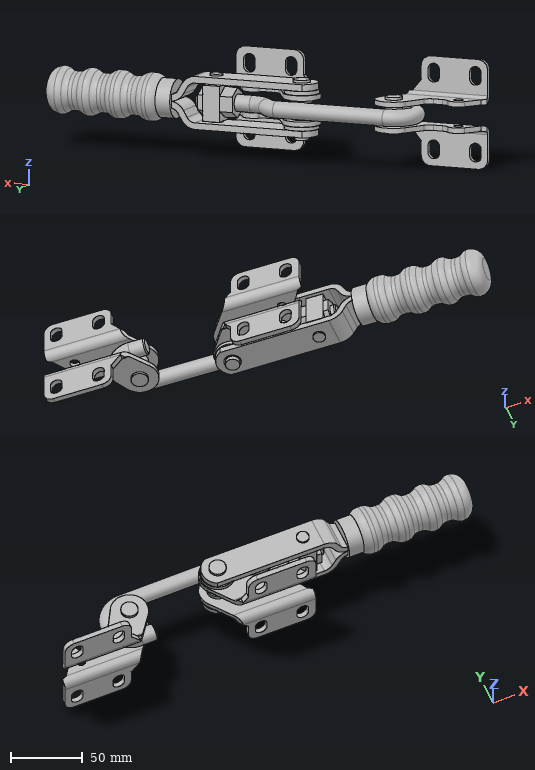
import cadquery as cq
import math


sheet = 4.0
cheek_gap_half = 7.5
bend_inner_radius = 2.5
bend_outer_radius = bend_inner_radius + sheet
cheek_outer_z = cheek_gap_half + sheet
bend_line_z = cheek_gap_half + bend_outer_radius
eye_radius = 13.5
ear_radius = 8.0
ear_hole_radius = 3.2
end_step_height = 4.8
end_step_length = 3.5
end_step_rise = 2.0
saddle_above_ear = 3.2
saddle_slope = 60
saddle_fillet = 6.5
cheek_top_limit = 64.0
flange_corner_radius = 7.0
slot_width = 8.5
slot_length = 13.0
slot_spacing = 31.7
pivot_radius = 6.0

catch_pivot_x = 61.0
catch_pivot_y = 27.5
catch_ear_x = 18.0
catch_ear_y = 13.5
catch_flange_length = 50.5
catch_foot_length = 57.3
catch_neck_z = 21.8
catch_half_width = 39.0
catch_slot_inset = 9.3
catch_slot_z = 27.2
catch_pin_half_length = 13.0

base_end_x = 191.5
base_rise = 3.0
base_ear_x = 19.2
base_pivot_x = 129.5
base_flange_length = 51.5
base_foot_length = 55.7
base_neck_z = 18.2
base_half_width = 36.0
base_slot_z = 24.0
base_slot_inset = 10.2
base_pivot_y = catch_pivot_y + base_rise
washer_radius = 12.5
collar_radius = 7.7
collar_thickness = 3.0
pivot_head_height = 2.0
pivot_tail_radius = 5.0
pivot_tail_length = 3.2

strap_thickness = 4.8
strap_width = 22.5
strap_inner_z = 14.0
strap_outer_z = strap_inner_z + strap_thickness
strap_tip_overhang = 12.0
strap_shoulder = 5.0
strap_bend_x = 206.0
strap_bend_radius = 9.3
strap_bend_angle = math.radians(60)
strap_tail = 6.5
grip_start_x = 224.0
grip_neck_length = 11.2
grip_bulge_radius = 17.3
grip_valley_radius = 14.0
grip_end_x = 320.0
grip_end_radius = 9.3
grip_bulge_gaps = (24.0, 22.5, 21.0)
grip_crest_lengths = (3.0, 3.0, 0, 0)
grip_valley_length = 3.0

trunnion_x = 194.5
trunnion_radius = 4.5
trunnion_half_length = 20.2
block_length = 12.8
block_height = 19.2
block_half_width = 12.8

rod_radius = 6.0
rod_z = 0.3
rod_tilt = 0.5
hook_center_y = 26.5
hook_radius = 15.7
hook_tip_length = 12.0
crank_start = 83.0
crank_first_radius = 10.2
crank_second_radius = 17.0
rod_end_overhang = 7.7
rod_end_chamfer = 1.0
nut_across_flats = 19.0
front_nut_thickness = 9.5
rear_nut_thickness = 4.0


def z_cylinder(radius, z_low, z_high, x, y):
    return cq.Workplane("XY", origin=(x, y, z_low)).circle(radius).extrude(z_high - z_low)


def on_circle(center, radius, degrees):
    angle = math.radians(degrees)
    return (center[0] + radius * math.cos(angle), center[1] + radius * math.sin(angle))


def tangent_point(center, radius, point, turn):
    """Where a line from `point` touches a circle; `turn` is +1 or -1 for the two solutions."""
    dx = point[0] - center[0]
    dy = point[1] - center[1]
    angle = math.atan2(dy, dx) + turn * math.acos(radius / math.hypot(dx, dy))
    return on_circle(center, radius, math.degrees(angle))


def bent_sheet(length, half_width):
    """L-shaped sheet over the whole length: upright cheek, bend and flat flange."""
    return (
        cq.Workplane("ZY")
        .moveTo(half_width, 0)
        .lineTo(bend_line_z, 0)
        .radiusArc((cheek_gap_half, bend_outer_radius), bend_outer_radius)
        .lineTo(cheek_gap_half, cheek_top_limit)
        .lineTo(cheek_outer_z, cheek_top_limit)
        .lineTo(cheek_outer_z, bend_outer_radius)
        .radiusArc((bend_line_z, sheet), -bend_inner_radius)
        .lineTo(half_width, sheet)
        .close()
        .extrude(-length)
    )


def cheek_outline(pivot, ear, foot_length, half_width):
    """Outline of the cheek: ear over the outer end, saddle, then a round eye about the pivot."""
    end_step = (end_step_length, end_step_height + end_step_rise)
    saddle_y = ear[1] + saddle_above_ear
    ear_stop = on_circle(ear, ear_radius, 45)
    saddle_start = (ear_stop[0] + ear_stop[1] - saddle_y, saddle_y)
    eye_start = on_circle(pivot, eye_radius, 90 + saddle_slope)
    saddle_run = (eye_start[1] - saddle_y) / math.tan(math.radians(saddle_slope))
    saddle_stop = (eye_start[0] - saddle_run, saddle_y)
    eye_stop = tangent_point(pivot, eye_radius, (foot_length, 0), 1)
    outline = (
        cq.Workplane("XY")
        .moveTo(0, 0)
        .lineTo(0, end_step_height)
        .lineTo(*end_step)
        .lineTo(*tangent_point(ear, ear_radius, end_step, -1))
        .threePointArc(on_circle(ear, ear_radius, 90), ear_stop)
        .lineTo(*saddle_start)
        .lineTo(*saddle_stop)
        .lineTo(*eye_start)
        .threePointArc(on_circle(pivot, eye_radius, 30), eye_stop)
        .lineTo(foot_length, 0)
        .close()
        .extrude(half_width)
    )
    for corner in (saddle_start, saddle_stop):
        corner_edge = cq.selectors.NearestToPointSelector((*corner, half_width / 2))
        outline = outline.edges(corner_edge).fillet(saddle_fillet)
    return outline


def flange_outline(length, foot_length, flange_length, neck_z, half_width):
    """Outline of the flange seen along Y, with a slanted neck down to the bend line."""
    return (
        cq.Workplane("XZ")
        .polyline([
            (0, 0),
            (0, half_width),
            (flange_length, half_width),
            (flange_length, neck_z),
            (foot_length, bend_line_z),
            (length, bend_line_z),
            (length, 0),
        ])
        .close()
        .extrude(-cheek_top_limit)
        .edges("|Y and >Z")
        .fillet(flange_corner_radius)
    )


def bracket_cheeks(pivot, ear, foot_length, flange_length, neck_z, half_width, slot_inset, slot_z):
    length = pivot[0] + eye_radius
    cheek = bent_sheet(length, half_width)
    cheek = cheek.intersect(cheek_outline(pivot, ear, foot_length, half_width))
    cheek = cheek.intersect(flange_outline(length, foot_length, flange_length, neck_z, half_width))
    cheek = cheek.cut(z_cylinder(ear_hole_radius, 0, half_width, *ear))
    slots = (
        cq.Workplane("XZ")
        .pushPoints([(slot_inset, slot_z), (slot_inset + slot_spacing, slot_z)])
        .slot2D(slot_length, slot_width, 90)
        .extrude(-sheet)
    )
    cheek = cheek.cut(slots)
    return cheek.union(cheek.mirror("XY"))


def build_catch():
    pivot = (catch_pivot_x, catch_pivot_y)
    ear = (catch_ear_x, catch_ear_y)
    cheeks = bracket_cheeks(
        pivot, ear, catch_foot_length, catch_flange_length, catch_neck_z,
        catch_half_width, catch_slot_inset, catch_slot_z,
    )
    pin = z_cylinder(pivot_radius, -catch_pin_half_length, catch_pin_half_length, *pivot)
    return cheeks.union(pin)


def build_base():
    pivot = (base_end_x - base_pivot_x, base_pivot_y)
    ear = (base_ear_x, catch_ear_y + base_rise)
    base = bracket_cheeks(
        pivot, ear, base_foot_length, base_flange_length, base_neck_z,
        base_half_width, base_slot_inset, base_slot_z,
    )
    washer = z_cylinder(washer_radius, cheek_outer_z, strap_inner_z, *pivot)
    collar = z_cylinder(collar_radius, cheek_gap_half - collar_thickness, cheek_gap_half, *pivot)
    spacers = washer.union(collar)
    pin = z_cylinder(pivot_radius, -strap_outer_z, strap_outer_z + pivot_head_height, *pivot)
    tail_end_z = strap_outer_z + pivot_tail_length
    pin_tail = z_cylinder(pivot_tail_radius, -tail_end_z, -strap_outer_z, *pivot)
    base = base.union(spacers).union(spacers.mirror("XY")).union(pin).union(pin_tail)
    return base.mirror("YZ").translate((base_end_x, 0, 0))


def build_strap():
    """Upper strap: straight, then an S-bend down until its inner face reaches Z = 0."""
    tip_x = base_pivot_x - strap_tip_overhang
    middle_z = strap_inner_z + strap_thickness / 2
    bend_run = strap_bend_radius * math.sin(strap_bend_angle)
    bend_drop = strap_bend_radius * (1 - math.cos(strap_bend_angle))
    slant_drop = strap_inner_z - 2 * bend_drop
    slant_run = slant_drop / math.tan(strap_bend_angle)
    slant_start = (strap_bend_x + bend_run, middle_z - bend_drop)
    slant_stop = (slant_start[0] + slant_run, slant_start[1] - slant_drop)
    bend_stop = (slant_stop[0] + bend_run, strap_thickness / 2)
    path = (
        cq.Workplane("XZ", origin=(0, base_pivot_y, 0))
        .moveTo(tip_x, middle_z)
        .lineTo(strap_bend_x, middle_z)
        .tangentArcPoint(slant_start, relative=False)
        .lineTo(*slant_stop)
        .tangentArcPoint(bend_stop, relative=False)
        .lineTo(bend_stop[0] + strap_tail, strap_thickness / 2)
    )
    section = cq.Workplane("YZ", origin=(tip_x, base_pivot_y, middle_z)).rect(strap_width, strap_thickness)
    strap = section.sweep(path)

    shoulder_x = base_pivot_x - strap_shoulder
    tip_outline = (
        cq.Workplane("XY")
        .moveTo(shoulder_x, base_pivot_y + strap_width / 2)
        .threePointArc((tip_x, base_pivot_y), (shoulder_x, base_pivot_y - strap_width / 2))
        .lineTo(grip_end_x, base_pivot_y - strap_width / 2)
        .lineTo(grip_end_x, base_pivot_y + strap_width / 2)
        .close()
        .extrude(strap_outer_z)
    )
    strap = strap.intersect(tip_outline)
    pivot_hole = z_cylinder(pivot_radius, 0, strap_outer_z, base_pivot_x, base_pivot_y)
    trunnion_hole = z_cylinder(trunnion_radius, 0, strap_outer_z, trunnion_x, base_pivot_y)
    return strap.cut(pivot_hole).cut(trunnion_hole)


def build_grip():
    neck_end_x = grip_start_x + grip_neck_length
    first_bulge_x = grip_end_x - grip_end_radius - sum(grip_bulge_gaps)
    bulge_rise = grip_bulge_radius - grip_valley_radius
    first_run = first_bulge_x - grip_crest_lengths[0] / 2 - neck_end_x
    first_arc_radius = (first_run**2 + bulge_rise**2) / (2 * bulge_rise)
    profile = (
        cq.Workplane("XY", origin=(0, base_pivot_y, 0))
        .moveTo(grip_start_x, 0)
        .lineTo(grip_start_x, grip_valley_radius)
        .lineTo(neck_end_x, grip_valley_radius)
        .radiusArc((neck_end_x + first_run, grip_bulge_radius), first_arc_radius)
    )

    def wave(outline, start, stop):
        """S-curve of two equal arcs between two radii, level at both ends."""
        middle = ((start[0] + stop[0]) / 2, (start[1] + stop[1]) / 2)
        half_run = (stop[0] - start[0]) / 2
        half_step = (stop[1] - start[1]) / 2
        arc_radius = (half_run**2 + half_step**2) / (2 * half_step)
        return outline.radiusArc(middle, -arc_radius).radiusArc(stop, arc_radius)

    bulge_x = first_bulge_x
    for index, gap in enumerate(grip_bulge_gaps):
        crest_end = (bulge_x + grip_crest_lengths[index] / 2, grip_bulge_radius)
        valley_x = bulge_x + gap / 2
        valley_start = (valley_x - grip_valley_length / 2, grip_valley_radius)
        valley_end = (valley_x + grip_valley_length / 2, grip_valley_radius)
        bulge_x += gap
        next_crest = (bulge_x - grip_crest_lengths[index + 1] / 2, grip_bulge_radius)
        if grip_crest_lengths[index] > 0:
            profile = profile.lineTo(*crest_end)
        profile = wave(profile, crest_end, valley_start).lineTo(*valley_end)
        profile = wave(profile, valley_end, next_crest)

    return (
        profile
        .radiusArc((grip_end_x, grip_bulge_radius - grip_end_radius), grip_end_radius)
        .lineTo(grip_end_x, 0)
        .close()
        .revolve(360, (0, 0, 0), (1, 0, 0))
    )


def build_handle():
    strap = build_strap()
    return build_grip().union(strap).union(strap.mirror("XY"))


def build_trunnion():
    block = cq.Workplane("XY").box(block_length, block_height, 2 * block_half_width)
    journal = z_cylinder(trunnion_radius, -trunnion_half_length, trunnion_half_length, 0, 0)
    rod_hole = cq.Workplane("YZ", origin=(-block_length, 0, rod_z)).circle(rod_radius).extrude(2 * block_length)
    trunnion = block.union(journal).cut(rod_hole)
    return trunnion.rotate((0, 0, 0), (0, 0, 1), rod_tilt).translate((trunnion_x, base_pivot_y, 0))


def hex_nut(start_x, rod_y, thickness):
    """Hexagon nut along X with two flats facing up and down."""
    across_corners = nut_across_flats / math.cos(math.radians(30))
    return (
        cq.Workplane("YZ", origin=(start_x, rod_y, 0))
        .transformed(rotate=(0, 0, 90))
        .polygon(6, across_corners)
        .extrude(thickness)
    )


def build_hook_rod():
    tilt = math.radians(rod_tilt)
    reach_x = trunnion_x - catch_pivot_x
    reach_y = base_pivot_y - hook_center_y
    block_x = reach_x * math.cos(tilt) + reach_y * math.sin(tilt)
    tail_y = reach_y * math.cos(tilt) - reach_x * math.sin(tilt)
    block_front_x = block_x - block_length / 2
    block_rear_x = block_x + block_length / 2
    end_x = block_rear_x + rod_end_overhang

    crank_drop = hook_radius - tail_y
    crank_angle = math.acos(1 - crank_drop / (crank_first_radius + crank_second_radius))
    crank_middle = (
        crank_start + crank_first_radius * math.sin(crank_angle),
        hook_radius - crank_first_radius * (1 - math.cos(crank_angle)),
    )
    crank_stop = (crank_middle[0] + crank_second_radius * math.sin(crank_angle), tail_y)
    path = (
        cq.Workplane("XY")
        .moveTo(hook_tip_length, -hook_radius)
        .lineTo(0, -hook_radius)
        .threePointArc((-hook_radius, 0), (0, hook_radius))
        .lineTo(crank_start, hook_radius)
        .tangentArcPoint(crank_middle, relative=False)
        .tangentArcPoint(crank_stop, relative=False)
        .lineTo(end_x, tail_y)
    )
    section = cq.Workplane("YZ", origin=(hook_tip_length, -hook_radius, 0)).circle(rod_radius)
    tip_selector = cq.selectors.NearestToPointSelector((hook_tip_length, -hook_radius, 0))
    rod = section.sweep(path).faces(">X").chamfer(rod_end_chamfer)
    rod = rod.faces(tip_selector).chamfer(rod_end_chamfer)
    rod = rod.union(hex_nut(block_front_x - front_nut_thickness, tail_y, front_nut_thickness))
    rod = rod.union(hex_nut(block_rear_x, tail_y, rear_nut_thickness))
    return rod.rotate((0, 0, 0), (0, 0, 1), rod_tilt).translate((catch_pivot_x, hook_center_y, rod_z))


catch = build_catch()
base = build_base()
handle = build_handle()
trunnion = build_trunnion()
hook_rod = build_hook_rod()

result = cq.Compound.makeCompound([
    catch.val(),
    base.val(),
    handle.val(),
    trunnion.val(),
    hook_rod.val(),
])